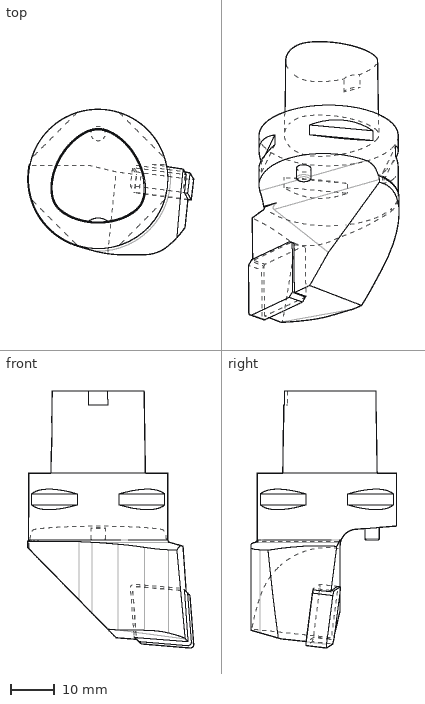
import cadquery as cq
import math

overall_height = 59.0

shank_height = 18.9
shank_base_radius = 10.85
shank_top_radius = 10.55
lobe_height = 0.7
lobe_points = 48
notch_diameter = 7.1
notch_centre_y = -12.5
notch_depth = 3.25

flange_radius = 32.0 / 2
flange_height = 15.3
groove_flat_distance = 14.15
groove_centre_z = -6.0
groove_floor_width = 2.5
groove_mouth_width = 4.7

flare = 0.6
shoulder_slope = 0.3
arm_left_radius = 16.15
arm_front_y = -17.4
arm_bottom_z = shank_height - overall_height
arm_tangent_x = -4.4
arm_side_length = 3.05
arm_front_start_x = 4.6
arm_front_end_x = 10.6
arm_corner_end = (16.15, -15.3)
arm_end_middle = (18.4, -13.1)
arm_end = (21.55, -8.25)

cutter_size = 118.0
overrun = 5.9

wall_y = 3.05
relief_edge_z = -12.15
relief_slope = 4.5
relief_fillet = 3.8

nozzle_diameter = 3.3
nozzle_y = 10.4
nozzle_bottom_z = -15.35
nozzle_edge = 0.35

heel = (4.15, 1.6, -37.75)
heel_slope = 1.02
seat_tilt = 0.12
bottom_x_slope = 0.09
bottom_y_slope = 0.097
second_bottom_start = (arm_front_start_x, arm_front_y)
second_bottom_heading = 0.45
second_bottom_slope = 0.18
end_face_point = (19.45, 2.2, -16.75)
end_face_y_slope = 0.095
end_face_z_slope = 0.082

insert_edge = 13.3
insert_angle = 80.0
insert_thickness = 4.8
insert_lean = 4.8
insert_nose_radius = 0.8
insert_corner_bevel = 1.0
insert_rise = 0.65
insert_tip_x = 22.0
insert_corner_overhang = 0.075
insert_tip_z = arm_bottom_z - insert_corner_overhang


def half_space(point, outward):
    """Large block whose face passes through the point, filling the outward side."""
    face = cq.Plane(origin=point, normal=outward)
    return cq.Workplane(face).rect(cutter_size, cutter_size).extrude(cutter_size / 2)


def lobed_outline(radius):
    """Closed three-lobed curve of constant width, twice the radius, with one lobe towards +Y."""
    points = []
    for index in range(lobe_points):
        angle = 2 * math.pi * index / lobe_points
        support = radius - lobe_height * math.sin(3 * angle)
        support_rate = -3 * lobe_height * math.cos(3 * angle)
        x = support * math.cos(angle) - support_rate * math.sin(angle)
        y = support * math.sin(angle) + support_rate * math.cos(angle)
        points.append(cq.Vector(x, y, 0))
    return cq.Wire.assembleEdges([cq.Edge.makeSpline(points, periodic=True)])


def make_shank():
    base = lobed_outline(shank_base_radius)
    top = lobed_outline(shank_top_radius).translate(cq.Vector(0, 0, shank_height))
    shank = cq.Workplane(cq.Solid.makeLoft([base, top], True))
    notch = (
        cq.Workplane("XY", origin=(0, notch_centre_y, shank_height))
        .circle(notch_diameter / 2)
        .extrude(-notch_depth)
    )
    return shank.cut(notch)


def make_flange():
    flange = cq.Workplane("XY").circle(flange_radius).extrude(-flange_height)
    mouth_slope = (groove_mouth_width - groove_floor_width) / 2 / (flange_radius - groove_flat_distance)
    outer = flange_radius + overrun
    outer_half = groove_floor_width / 2 + mouth_slope * (outer - groove_flat_distance)
    groove = (
        cq.Workplane("XZ")
        .moveTo(groove_flat_distance, groove_centre_z - groove_floor_width / 2)
        .lineTo(outer, groove_centre_z - outer_half)
        .lineTo(outer, groove_centre_z + outer_half)
        .lineTo(groove_flat_distance, groove_centre_z + groove_floor_width / 2)
        .close()
        .extrude(flange_radius, both=True)
    )
    for turn in (45, 135, 225, 315):
        flange = flange.cut(groove.rotate((0, 0, 0), (0, 0, 1), turn))
    return flange


def make_arm():
    """Straight-sided arm whose upper shoulder is a shallow cone around the shank axis."""
    back_y = wall_y + overrun
    back_x = -math.sqrt(arm_left_radius**2 - back_y**2)
    tangent_y = -math.sqrt(arm_left_radius**2 - arm_tangent_x**2)
    blend_x = arm_tangent_x + arm_side_length
    blend_y = tangent_y - arm_side_length * arm_tangent_x / tangent_y
    outline = (
        cq.Workplane("XY", origin=(0, 0, arm_bottom_z - overrun))
        .moveTo(back_x, back_y)
        .threePointArc((-arm_left_radius, 0), (arm_tangent_x, tangent_y))
        .lineTo(blend_x, blend_y)
        .tangentArcPoint((arm_front_start_x, arm_front_y), relative=False)
        .lineTo(arm_front_end_x, arm_front_y)
        .tangentArcPoint(arm_corner_end, relative=False)
        .threePointArc(arm_end_middle, arm_end)
        .lineTo(arm_end[0] + overrun, back_y)
        .close()
        .extrude(cutter_size / 2)
    )
    flare_z = -flange_height - flare
    flare_radius = flange_radius + flare
    envelope = (
        cq.Workplane("XZ")
        .moveTo(0, -flange_height)
        .lineTo(flange_radius, -flange_height)
        .radiusArc((flare_radius, flare_z), -flare)
        .lineTo(2 * flare_radius, flare_z - shoulder_slope * flare_radius)
        .lineTo(2 * flare_radius, arm_bottom_z - overrun)
        .lineTo(0, arm_bottom_z - overrun)
        .close()
        .revolve(360, (0, 0, 0), (0, 1, 0))
    )
    return outline.intersect(envelope)


def cut_relief(holder):
    """Remove everything behind the arm, leaving a filleted ledge under the flange."""
    slope = math.tan(math.radians(relief_slope))
    far_y = flange_radius + overrun
    corner_z = relief_edge_z - slope * (flange_radius - wall_y)
    far_z = corner_z + slope * (far_y - wall_y)
    relief = (
        cq.Workplane("YZ")
        .moveTo(wall_y, corner_z)
        .lineTo(far_y, far_z)
        .lineTo(far_y, arm_bottom_z - overrun)
        .lineTo(wall_y, arm_bottom_z - overrun)
        .close()
        .extrude(cutter_size / 2, both=True)
        .edges(cq.selectors.NearestToPointSelector((0, wall_y, corner_z)))
        .fillet(relief_fillet)
    )
    return holder.cut(relief)


def make_nozzle():
    return (
        cq.Workplane("XY", origin=(0, nozzle_y, nozzle_bottom_z))
        .circle(nozzle_diameter / 2)
        .extrude(-nozzle_bottom_z - flange_height / 2)
        .faces("<Z")
        .edges()
        .fillet(nozzle_edge)
    )


def trim_arm(arm):
    """Cut the sloping heel, seat, end and two bottom faces."""
    arm = arm.cut(half_space(heel, (-heel_slope, 0, -1)))
    arm = arm.cut(half_space(heel, (seat_tilt, 1, -seat_tilt)))
    arm = arm.cut(half_space(end_face_point, (1, -end_face_y_slope, end_face_z_slope)))
    arm = arm.cut(half_space(heel, (-bottom_x_slope, -bottom_y_slope, -1)))
    start_x, start_y = second_bottom_start
    start_z = heel[2] - bottom_x_slope * (start_x - heel[0]) - bottom_y_slope * (start_y - heel[1])
    x_slope = bottom_x_slope - second_bottom_slope * second_bottom_heading
    y_slope = bottom_y_slope + second_bottom_slope
    return arm.cut(half_space((start_x, start_y, start_z), (-x_slope, -y_slope, -1)))


def make_insert():
    """Rhombic plate parallel to the seat, its rounded acute corner beyond the arm's tip."""
    seat_y = heel[1] - seat_tilt * (insert_tip_x - heel[0]) + seat_tilt * (insert_tip_z - heel[2])
    edge_rise = math.tan(math.radians(insert_lean))
    along_edge = (-1, seat_tilt * (1 + edge_rise), edge_rise)
    rake_plane = cq.Plane(
        origin=(insert_tip_x, seat_y + insert_rise, insert_tip_z),
        xDir=along_edge,
        normal=(seat_tilt, 1, -seat_tilt),
    )
    side_x = insert_edge * math.cos(math.radians(insert_angle))
    side_y = insert_edge * math.sin(math.radians(insert_angle))
    corners = [(0, 0), (insert_edge, 0), (insert_edge + side_x, side_y), (side_x, side_y)]
    plate = cq.Workplane(rake_plane).polyline(corners).close().extrude(-insert_thickness)

    def corner_edge(corner):
        middle = rake_plane.toWorldCoords((*corner, -insert_thickness / 2))
        return cq.selectors.NearestToPointSelector(middle.toTuple())

    for acute in (corners[0], corners[2]):
        plate = plate.edges(corner_edge(acute)).fillet(insert_nose_radius)
    for obtuse in (corners[1], corners[3]):
        plate = plate.edges(corner_edge(obtuse)).chamfer(insert_corner_bevel)
    return plate


insert = make_insert()
arm = trim_arm(make_arm())
holder = cut_relief(make_flange().union(arm)).union(make_shank()).union(make_nozzle())
holder = holder.cut(insert)

result = cq.Compound.makeCompound([holder.solids().val(), insert.val()])